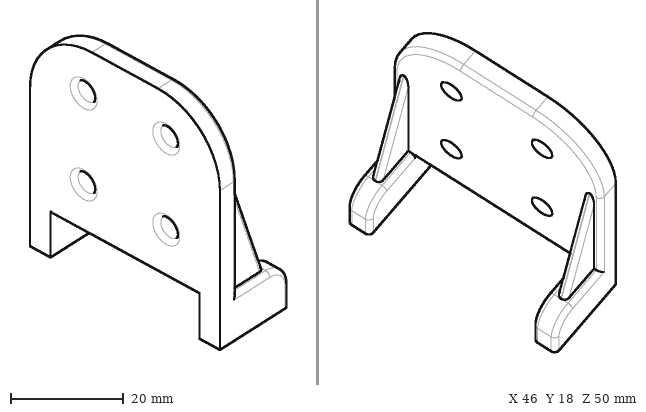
import cadquery as cq

width = 46
height = 50
plate_thickness = 4.5
corner_radius = 15
edge_radius = 1

foot_width = 5
foot_depth = 18
foot_height = 10
foot_end_radius = 5
foot_offset = (width - foot_width) / 2

rib_width = 2
rib_edge_radius = 0.95
rib_top = height - corner_radius
rib_depth = foot_depth - foot_end_radius

hole_diameter = 4.5
hole_rim_radius = 1
hole_spacing = 20
hole_center_height = 30


def make_plate():
    """Plate with two large top corners and a rounded rear outline."""
    plate = (
        cq.Workplane("XY")
        .box(width, plate_thickness, height, centered=(True, False, False))
        .edges("|Y and >Z")
        .fillet(corner_radius)
    )
    plate = plate.faces(">Y").edges("not <Z").fillet(edge_radius)
    notch = cq.Workplane("XY").box(
        width - 2 * foot_width, plate_thickness, foot_height, centered=(True, False, False)
    )
    return plate.cut(notch)


def make_foot(x):
    """Foot with a round rear top corner and softened side edges."""
    foot = (
        cq.Workplane("XY")
        .box(foot_width, foot_depth, foot_height, centered=(True, False, False))
        .edges(">Y and >Z")
        .fillet(foot_end_radius)
    )
    foot = foot.faces("<X or >X").edges("not (<Z or <Y)").fillet(edge_radius)
    return foot.translate((x, 0, 0))


def make_rib(x):
    """Triangular rib, rounded along its sloping edges."""
    rib = (
        cq.Workplane("YZ")
        .moveTo(plate_thickness, foot_height)
        .lineTo(rib_depth, foot_height)
        .lineTo(plate_thickness, rib_top)
        .close()
        .extrude(rib_width / 2, both=True)
    )
    rib = rib.faces("<X or >X").edges("not (|Y or |Z)").fillet(rib_edge_radius)
    return rib.translate((x, 0, 0))


def make_hole(x, z):
    """Cutter for a through hole that flares out to the front face."""
    bore_radius = hole_diameter / 2
    return (
        cq.Workplane("XY")
        .lineTo(bore_radius + hole_rim_radius, 0)
        .radiusArc((bore_radius, hole_rim_radius), hole_rim_radius)
        .lineTo(bore_radius, plate_thickness)
        .lineTo(0, plate_thickness)
        .close()
        .revolve(360, (0, 0, 0), (0, 1, 0))
        .translate((x, 0, z))
    )


result = make_plate()
for side in (-1, 1):
    result = result.union(make_foot(side * foot_offset))
    result = result.union(make_rib(side * foot_offset))

for side in (-1, 1):
    for level in (-1, 1):
        hole_x = side * hole_spacing / 2
        hole_z = hole_center_height + level * hole_spacing / 2
        result = result.cut(make_hole(hole_x, hole_z))